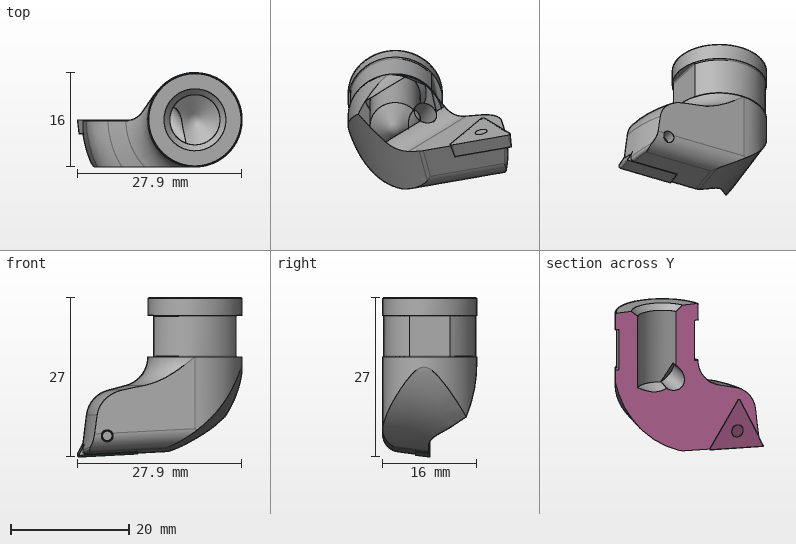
import cadquery as cq
import math

TOTAL_HEIGHT = 27.0
SHANK_RADIUS = 7.993
COLLAR_BOTTOM = 24.0
SHOULDER_HEIGHT = 16.95
SHOULDER_THICKNESS = 0.55
COLLAR_CHAMFER = 0.2
NECK_RADIUS = 7.78
NECK_ROOT_FILLET = 0.17
FLAT_DISTANCE = 6.98
BORE_RADIUS = 4.25
BORE_FLOOR = 13.4
BORE_POINT_DEPTH = 2.55
COUNTERSINK_RADIUS = 5.25
COUNTERSINK_DEPTH = 1.0

ARM_SLOPE = 15
ARM_FILLET = 5.0
NOSE_BASE_RADIUS = 19.25
ARM_BASE_Z = -1.4
RELIEF_ANGLE = 7
EDGE_ANGLE = 3
HEEL_START_X = -4.46
HEEL_CENTRE = (-10.45, 18.8)
HEEL_RADIUS = 18.85
FRONT_FILLET = 3.0
NOSE_EDGE_FILLET = 0.55
HEEL_EDGE_FILLET = 2.5

POCKET_FLOOR_Y = -0.2
POCKET_WALL_OFFSET = 3.15
POCKET_FLOOR_FILLET = 5.58
POCKET_CREST_FILLET = 3.0

COOLANT_RADIUS = 2.0
COOLANT_Y = 1.95
COOLANT_Z = 11.55
COOLANT_LENGTH = 7.25

INSERT_SIDE = 11.0
INSERT_CIRCLE = INSERT_SIDE / math.sqrt(3)
INSERT_THICKNESS = 2.37
INSERT_RELIEF = 7
INSERT_NOSE_RADIUS = 0.4
INSERT_AXIS_ANGLE = 30 + EDGE_ANGLE
INSERT_X = -14.85
INSERT_Z = 3.43
SCREW_Z = 3.6
SCREW_RADIUS = 1.0
SCREW_CHAMFER = 0.2
SCREW_END_Y = -6.15

REACH = 33.48


def tangent_fillet(before, corner, after, radius):
    """Start, middle and end points of the arc that rounds a corner of an outline."""
    into = (corner - before).normalized()
    out = (after - corner).normalized()
    turn = into.getAngle(out)
    setback = radius * math.tan(turn / 2)
    inward = (out - into).normalized()
    centre = corner + inward * (radius / math.cos(turn / 2))
    return corner - into * setback, centre - inward * radius, corner + out * setback


def neck_root(height):
    """Selects the edges where the neck meets the shoulder or the collar."""
    margin = (SHANK_RADIUS - NECK_RADIUS) / 2
    half = NECK_RADIUS + margin
    return cq.selectors.BoxSelector(
        (-half, -half, height - margin), (half, half, height + margin), boundingbox=True
    )


def make_shank():
    """Collar and neck with two flats, standing on the shoulder."""
    collar = (
        cq.Workplane("XY", origin=(0, 0, COLLAR_BOTTOM))
        .circle(SHANK_RADIUS)
        .extrude(TOTAL_HEIGHT - COLLAR_BOTTOM)
        .faces(">Z")
        .chamfer(COLLAR_CHAMFER)
    )
    neck_height = COLLAR_BOTTOM - SHOULDER_HEIGHT
    flats = cq.Workplane("XY").box(
        2 * FLAT_DISTANCE, REACH, neck_height, centered=(True, True, False)
    )
    neck = (
        cq.Workplane("XY")
        .circle(NECK_RADIUS)
        .extrude(neck_height)
        .intersect(flats)
        .translate((0, 0, SHOULDER_HEIGHT))
    )
    shoulder = (
        cq.Workplane("XY", origin=(0, 0, SHOULDER_HEIGHT - SHOULDER_THICKNESS))
        .circle(SHANK_RADIUS)
        .extrude(SHOULDER_THICKNESS)
    )
    shank = shoulder.union(neck).union(collar)
    for height in (SHOULDER_HEIGHT, COLLAR_BOTTOM):
        shank = shank.edges(neck_root(height)).fillet(NECK_ROOT_FILLET)
    return shank


def make_bore():
    """Countersunk blind bore with a drill point."""
    return (
        cq.Workplane("XZ")
        .moveTo(0, TOTAL_HEIGHT)
        .lineTo(COUNTERSINK_RADIUS, TOTAL_HEIGHT)
        .lineTo(BORE_RADIUS, TOTAL_HEIGHT - COUNTERSINK_DEPTH)
        .lineTo(BORE_RADIUS, BORE_FLOOR)
        .lineTo(0, BORE_FLOOR - BORE_POINT_DEPTH)
        .close()
        .revolve()
    )


def make_turned_arm():
    """Cylinder under the shoulder plus the turned arm on its -X side."""
    slope = math.radians(ARM_SLOPE)
    relief = math.tan(math.radians(RELIEF_ANGLE))
    saddle_drop = ARM_FILLET * math.tan((math.pi / 2 - slope) / 2)
    saddle_z = SHOULDER_HEIGHT - saddle_drop
    nose_z = (saddle_z - math.tan(slope) * (NOSE_BASE_RADIUS - SHANK_RADIUS)) / (
        1 - math.tan(slope) * relief
    )
    top = cq.Vector(SHANK_RADIUS, SHOULDER_HEIGHT)
    saddle = cq.Vector(SHANK_RADIUS, saddle_z)
    nose = cq.Vector(NOSE_BASE_RADIUS - relief * nose_z, nose_z)
    base = cq.Vector(NOSE_BASE_RADIUS - relief * ARM_BASE_Z, ARM_BASE_Z)
    _, saddle_mid, saddle_end = tangent_fillet(top, saddle, nose, ARM_FILLET)
    nose_start, nose_mid, nose_end = tangent_fillet(saddle, nose, base, ARM_FILLET)
    turned = (
        cq.Workplane("XZ")
        .moveTo(0, SHOULDER_HEIGHT)
        .lineTo(top.x, top.y)
        .threePointArc(saddle_mid.toTuple()[:2], saddle_end.toTuple()[:2])
        .lineTo(nose_start.x, nose_start.y)
        .threePointArc(nose_mid.toTuple()[:2], nose_end.toTuple()[:2])
        .lineTo(base.x, base.y)
        .lineTo(0, ARM_BASE_Z)
        .close()
        .revolve()
    )
    arm_side = cq.Workplane("XY").box(
        REACH, 2 * SHANK_RADIUS, REACH, centered=(True, True, False)
    ).translate((-REACH / 2, 0, ARM_BASE_Z))
    cylinder = (
        cq.Workplane("XY", origin=(0, 0, ARM_BASE_Z))
        .circle(SHANK_RADIUS)
        .extrude(SHOULDER_HEIGHT - ARM_BASE_Z)
    )
    return cylinder.union(turned.intersect(arm_side))


def drafted_prism(outline):
    """Prism of an outline drawn at Y = 0, narrowing toward -Y by the relief angle."""
    front = outline().extrude(SHANK_RADIUS, taper=RELIEF_ANGLE)
    back = outline().extrude(-SHANK_RADIUS, taper=-RELIEF_ANGLE)
    return front.union(back)


def edge_outline():
    """Everything above the straight lower edge."""
    slope = math.tan(math.radians(EDGE_ANGLE))
    heel_x, heel_z = HEEL_CENTRE
    start_z = heel_z - math.sqrt(HEEL_RADIUS**2 - (HEEL_START_X - heel_x) ** 2)
    return (
        cq.Workplane("XZ")
        .moveTo(-REACH, start_z - slope * (REACH + HEEL_START_X))
        .lineTo(REACH, start_z + slope * (REACH - HEEL_START_X))
        .lineTo(REACH, REACH)
        .lineTo(-REACH, REACH)
        .close()
    )


def heel_outline():
    """Everything inside the heel arc."""
    heel_x, heel_z = HEEL_CENTRE
    return (
        cq.Workplane("XZ")
        .moveTo(-REACH, heel_z - HEEL_RADIUS)
        .lineTo(heel_x, heel_z - HEEL_RADIUS)
        .radiusArc((heel_x + HEEL_RADIUS, heel_z), -HEEL_RADIUS)
        .lineTo(heel_x + HEEL_RADIUS, REACH)
        .lineTo(-REACH, REACH)
        .close()
    )


def make_pocket():
    """Space on the rake side, removed from the arm."""
    wall_start = cq.Vector(POCKET_WALL_OFFSET / math.sqrt(2) + POCKET_FLOOR_Y, POCKET_FLOOR_Y)
    wall_end = wall_start + cq.Vector(1, 1) * (SHANK_RADIUS - POCKET_FLOOR_Y)
    far_left = cq.Vector(-REACH, POCKET_FLOOR_Y)
    far_right = cq.Vector(REACH, SHANK_RADIUS)
    floor_start, floor_mid, floor_end = tangent_fillet(
        far_left, wall_start, wall_end, POCKET_FLOOR_FILLET
    )
    crest_start, crest_mid, crest_end = tangent_fillet(
        wall_start, wall_end, far_right, POCKET_CREST_FILLET
    )
    plane = cq.Plane(origin=(0, 0, 0), xDir=(1, 0, 1), normal=(-1, 0, 1))
    return (
        cq.Workplane(plane)
        .moveTo(far_left.x, far_left.y)
        .lineTo(floor_start.x, floor_start.y)
        .threePointArc(floor_mid.toTuple()[:2], floor_end.toTuple()[:2])
        .lineTo(crest_start.x, crest_start.y)
        .threePointArc(crest_mid.toTuple()[:2], crest_end.toTuple()[:2])
        .lineTo(far_right.x, far_right.y)
        .lineTo(REACH, REACH)
        .lineTo(-REACH, REACH)
        .close()
        .extrude(REACH, both=True)
    )


def make_coolant_hole():
    """Straight hole from the pocket wall into the bore."""
    start_x = POCKET_WALL_OFFSET + math.sqrt(2) * COOLANT_Y - COOLANT_Z
    inward = cq.Vector(1, -math.sqrt(2), 1).normalized()
    start = cq.Vector(start_x, COOLANT_Y, COOLANT_Z) - inward * COOLANT_LENGTH
    return cq.Workplane(
        cq.Solid.makeCylinder(COOLANT_RADIUS, 2 * COOLANT_LENGTH, start, inward)
    )


def make_screw_hole():
    """Plain hole through the insert and the arm."""
    return (
        cq.Workplane("XZ", origin=(INSERT_X, 0, SCREW_Z))
        .circle(SCREW_RADIUS)
        .extrude(REACH)
    )


def make_blank_insert():
    """Triangular insert without its hole: relieved sides, rake face on Y = 0."""
    angles = [math.radians(180 + INSERT_AXIS_ANGLE + turn) for turn in (0, 120, 240)]
    corners = [(INSERT_CIRCLE * math.cos(a), INSERT_CIRCLE * math.sin(a)) for a in angles]
    triangle = (
        cq.Sketch()
        .polygon(corners + corners[:1])
        .vertices()
        .fillet(INSERT_NOSE_RADIUS)
    )
    return (
        cq.Workplane("XZ", origin=(INSERT_X, 0, INSERT_Z))
        .placeSketch(triangle)
        .extrude(INSERT_THICKNESS, taper=INSERT_RELIEF)
    )


def make_insert():
    """Insert with the hole for its screw."""
    return make_blank_insert().cut(make_screw_hole())


def make_screw():
    """Threadless screw, flush with the rake face, chamfered at its far end."""
    return (
        cq.Workplane("XZ", origin=(INSERT_X, 0, SCREW_Z))
        .circle(SCREW_RADIUS)
        .extrude(-SCREW_END_Y)
        .faces("<Y")
        .chamfer(SCREW_CHAMFER)
    )


def make_arm():
    """Arm with its rounded edges and the chip pocket."""
    heel_edge = cq.selectors.NearestToPointSelector((HEEL_START_X, 0, 0))
    envelope = (
        drafted_prism(edge_outline)
        .intersect(drafted_prism(heel_outline))
        .edges(heel_edge)
        .fillet(HEEL_EDGE_FILLET)
    )
    nose_edge = cq.selectors.NearestToPointSelector((-NOSE_BASE_RADIUS, 0, 0))
    arm = make_turned_arm().intersect(envelope).edges(nose_edge).fillet(NOSE_EDGE_FILLET)
    lower_front = cq.selectors.NearestToPointSelector((0, -SHANK_RADIUS, 0))
    front_block = drafted_prism(edge_outline).edges(lower_front).fillet(FRONT_FILLET)
    arm = arm.intersect(front_block)
    return arm.cut(make_pocket())


def make_body():
    """Holder: arm and shank in one piece, with the bore, holes and insert seat."""
    body = make_arm().union(make_shank())
    for void in (make_bore(), make_coolant_hole(), make_blank_insert(), make_screw_hole()):
        body = body.cut(void)
    return body


body = make_body()
insert = make_insert()
screw = make_screw()
result = cq.Compound.makeCompound([body.solids().val(), insert.val(), screw.val()])